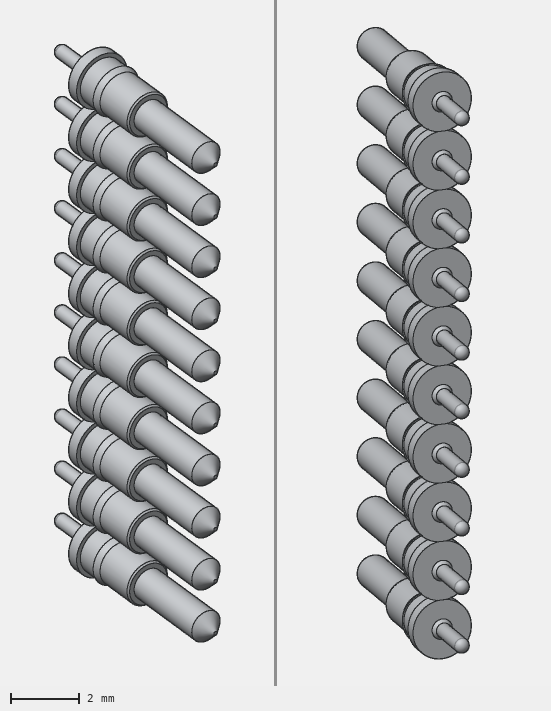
import cadquery as cq

PIN_COUNT = 10
ROW_HEIGHT = 18.11

PIN_LENGTH = 7.75
DOME_LENGTH = 0.2
TAIL_ROOT_X = 1.67
FLANGE_FRONT_X = 1.77
FLANGE_BACK_X = 2.17
BARB_CREST_X = 2.86
BARB_END_X = 3.08
BODY_END_X = 4.45
POINT_START_X = 7.28

TAIL_DIAMETER = 0.45
TAIL_ROOT_DIAMETER = 0.63
FLANGE_DIAMETER = 1.83
COLLAR_DIAMETER = 1.55
BARB_DIAMETER = 1.65
BODY_DIAMETER = 1.47
SHANK_DIAMETER = 1.03
POINT_END_DIAMETER = 0.13

BODY_CHAMFER = 0.05

PIN_PITCH = (ROW_HEIGHT - FLANGE_DIAMETER) / (PIN_COUNT - 1)
FLAT_DISTANCE = PIN_PITCH / 2


def make_pin():
    """Turned pin along +X, revolved from its half profile about the X axis."""
    tail_radius = TAIL_DIAMETER / 2
    dome_radius = (tail_radius**2 + DOME_LENGTH**2) / (2 * DOME_LENGTH)
    body_radius = BODY_DIAMETER / 2
    profile = (
        cq.Workplane("XZ")
        .moveTo(0, 0)
        .radiusArc((DOME_LENGTH, tail_radius), dome_radius)
        .lineTo(TAIL_ROOT_X, tail_radius)
        .lineTo(FLANGE_FRONT_X, TAIL_ROOT_DIAMETER / 2)
        .lineTo(FLANGE_FRONT_X, FLANGE_DIAMETER / 2)
        .lineTo(FLANGE_BACK_X, FLANGE_DIAMETER / 2)
        .lineTo(FLANGE_BACK_X, COLLAR_DIAMETER / 2)
        .lineTo(BARB_CREST_X, COLLAR_DIAMETER / 2)
        .lineTo(BARB_CREST_X, BARB_DIAMETER / 2)
        .lineTo(BARB_END_X, body_radius)
        .lineTo(BODY_END_X - BODY_CHAMFER, body_radius)
        .lineTo(BODY_END_X, body_radius - BODY_CHAMFER)
        .lineTo(BODY_END_X, SHANK_DIAMETER / 2)
        .lineTo(POINT_START_X, SHANK_DIAMETER / 2)
        .lineTo(PIN_LENGTH, POINT_END_DIAMETER / 2)
        .lineTo(PIN_LENGTH, 0)
        .close()
    )
    return profile.revolve(360, (0, 0, 0), (1, 0, 0))


def cut_flange_flat(pin, side):
    """Trim the flange where it meets the neighbour above (side = 1) or below (side = -1)."""
    cutter = cq.Workplane("XY").box(PIN_LENGTH, FLANGE_DIAMETER, FLANGE_DIAMETER)
    cutter_height = side * (FLAT_DISTANCE + FLANGE_DIAMETER / 2)
    return pin.cut(cutter.translate((PIN_LENGTH / 2, 0, cutter_height)))


pins = []
for index in range(PIN_COUNT):
    pin = make_pin()
    if index > 0:
        pin = cut_flange_flat(pin, -1)
    if index < PIN_COUNT - 1:
        pin = cut_flange_flat(pin, 1)
    pins.append(pin.translate((0, 0, index * PIN_PITCH)))

result = cq.Compound.makeCompound([pin.val() for pin in pins])